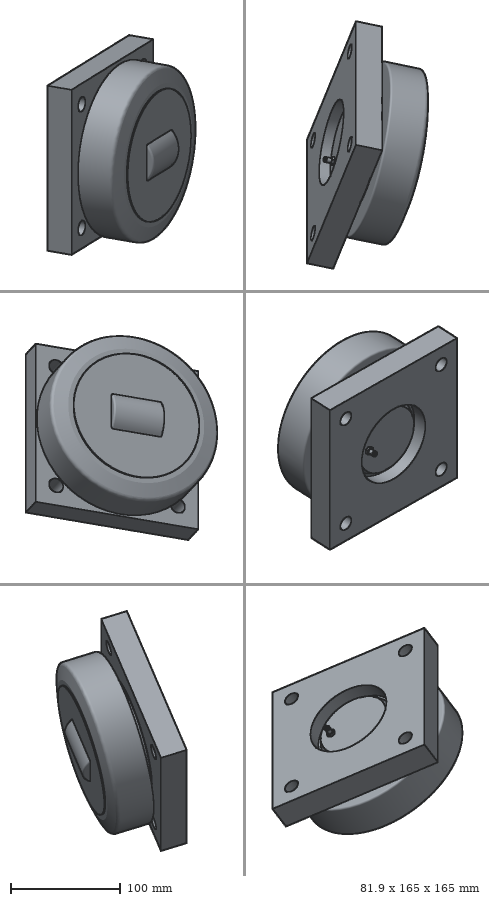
import cadquery as cq

plate_side = 160.0
plate_thickness = 25.0
bolt_spacing = 120.0
bolt_hole_diameter = 13.9

bore_diameter = 80.0
stub_diameter = 75.0
stub_chamfer_inset = 3.3
stub_chamfer_length = 5.8
stub_depth = 8.9
gap_depth = stub_depth + stub_chamfer_length

collar_diameter = 113.0
collar_edge_break = 0.5

wheel_radius = 82.5
wheel_back = 32.3
wheel_back_fillet = 2.0
cone_start = 68.1
shoulder_fillet = 3.6
cone_end = 72.6
cone_end_radius = 67.0
wheel_front = 73.8
front_disc_diameter = 123.8

cross_roller_diameter = 49.5
cross_roller_length = 50.0
cross_roller_tip = 81.2
cross_roller_fillet = 2.0

nipple_offset_y = 23.0
nipple_tip = -0.7
hex_across_corners = 8.0
hex_height = 2.5
nipple_body_diameter = 5.0
nipple_neck_diameter = 4.0
nipple_tip_diameter = 3.0
nipple_taper = 0.7
nipple_head_height = 1.6
nipple_neck_height = 0.8


def disc(diameter, x_start, x_end, y=0.0):
    """Cylinder along X between two X positions."""
    plane = cq.Workplane("YZ", origin=(x_start, y, 0))
    return plane.circle(diameter / 2).extrude(x_end - x_start)


def bevel_back(cylinder, length, inset):
    """Bevel the -X rim of a cylinder: length along X, inset along the radius."""
    return cylinder.faces("<X").edges().chamfer(length, inset)


def make_plate():
    plate = cq.Workplane("YZ").rect(plate_side, plate_side).extrude(plate_thickness)
    holes = (
        cq.Workplane("YZ")
        .rect(bolt_spacing, bolt_spacing, forConstruction=True)
        .vertices()
        .circle(bolt_hole_diameter / 2)
        .extrude(plate_thickness)
    )
    return plate.cut(holes).cut(disc(bore_diameter, 0, gap_depth))


def make_stub():
    stub = disc(stub_diameter, stub_depth, plate_thickness)
    return bevel_back(stub, stub_chamfer_length, stub_chamfer_inset)


def make_collar():
    return disc(collar_diameter, plate_thickness, wheel_back).edges().chamfer(collar_edge_break)


def make_wheel():
    blank = (
        cq.Workplane("XY")
        .moveTo(wheel_back, 0)
        .lineTo(wheel_back, wheel_radius)
        .lineTo(cone_start, wheel_radius)
        .lineTo(cone_end, cone_end_radius)
        .lineTo(cone_end, 0)
        .close()
        .revolve(360, (0, 0, 0), (1, 0, 0))
    )
    largest_circles = cq.selectors.RadiusNthSelector(-1)
    shoulder = blank.edges("%CIRCLE").edges(largest_circles).edges(">X")
    rounded = shoulder.fillet(shoulder_fillet)
    rounded = rounded.faces("<X").edges().fillet(wheel_back_fillet)
    return rounded.union(disc(front_disc_diameter, cone_end, wheel_front))


def make_cross_roller():
    center_x = cross_roller_tip - cross_roller_diameter / 2
    return (
        cq.Workplane("XZ", origin=(center_x, cross_roller_length / 2, 0))
        .circle(cross_roller_diameter / 2)
        .extrude(cross_roller_length)
        .edges()
        .fillet(cross_roller_fillet)
    )


def make_nipple():
    hex_base = (
        cq.Workplane("YZ", origin=(stub_depth, nipple_offset_y, 0))
        .transformed(rotate=(0, 0, 90))
        .polygon(6, hex_across_corners)
        .extrude(-hex_height)
    )
    head_end = nipple_tip + nipple_head_height
    neck_end = head_end + nipple_neck_height
    head = disc(nipple_body_diameter, nipple_tip, head_end, nipple_offset_y)
    tip_inset = (nipple_body_diameter - nipple_tip_diameter) / 2
    head = bevel_back(head, nipple_taper, tip_inset)
    neck = disc(nipple_neck_diameter, head_end, neck_end, nipple_offset_y)
    body = disc(nipple_body_diameter, neck_end, stub_depth, nipple_offset_y)
    return hex_base.union(body).union(neck).union(head)


result = make_plate()
for feature in (make_stub(), make_collar(), make_wheel(), make_cross_roller(), make_nipple()):
    result = result.union(feature)